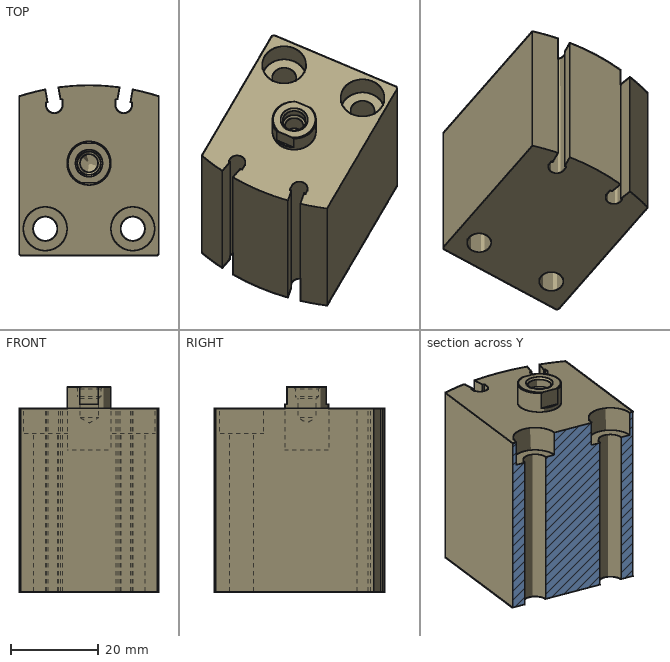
import cadquery as cq
import math

total_height = 47.0
rod_projection = 5.0
housing_height = total_height - rod_projection

housing_width = 32.0
housing_depth = 39.0
front_y = -21.15
back_y = front_y + housing_depth
half_width = housing_width / 2
back_sag = 2.55
corner_chamfer = 0.38

mount_x = 10.0
mount_y = -15.0
mount_diameter = 5.5
counterbore_diameter = 10.0
counterbore_depth = 5.7

slot_x = 7.95
slot_y = 13.35
slot_radius = 1.9
slot_inner_shoulder_y = 14.55
slot_outer_shoulder_y = 13.9
neck_inner_x = 6.55
neck_outer_x = 9.45
neck_lean = 10.0
neck_rise = 5.65

rod_diameter = 10.0
rod_chamfer = 0.2
across_flats = 9.02
flat_base_height = 1.0
rod_insertion = 9.4

hole_mouth_diameter = 6.2
hole_mouth_depth = 0.45
hole_bore_diameter = 5.3
hole_bore_depth = 2.25
hole_core_diameter = 4.15
hole_shoulder_depth = 2.65
hole_core_depth = 7.05
drill_point_angle = 120.0


def make_housing_block():
    corner_y = back_y - back_sag
    return (
        cq.Workplane("XY")
        .moveTo(-half_width + corner_chamfer, front_y)
        .lineTo(half_width - corner_chamfer, front_y)
        .lineTo(half_width, front_y + corner_chamfer)
        .lineTo(half_width, corner_y)
        .threePointArc((0, back_y), (-half_width, corner_y))
        .lineTo(-half_width, front_y + corner_chamfer)
        .close()
        .extrude(housing_height)
    )


def make_sensor_slot(side):
    """Full-height slot on the +X side (side = 1) or the -X side (side = -1)."""
    lean_x = neck_rise * math.tan(math.radians(neck_lean))
    return (
        cq.Workplane("XY")
        .moveTo(side * (slot_x - slot_radius), slot_y)
        .lineTo(side * (slot_x - slot_radius), slot_inner_shoulder_y)
        .lineTo(side * neck_inner_x, slot_inner_shoulder_y)
        .lineTo(side * (neck_inner_x + lean_x), slot_inner_shoulder_y + neck_rise)
        .lineTo(side * (neck_outer_x + lean_x), slot_outer_shoulder_y + neck_rise)
        .lineTo(side * neck_outer_x, slot_outer_shoulder_y)
        .lineTo(side * (slot_x + slot_radius), slot_outer_shoulder_y)
        .lineTo(side * (slot_x + slot_radius), slot_y)
        .threePointArc((side * slot_x, slot_y - slot_radius), (side * (slot_x - slot_radius), slot_y))
        .close()
        .extrude(housing_height)
    )


def make_rod_bore():
    return (
        cq.Workplane("XY")
        .workplane(offset=housing_height - rod_insertion)
        .circle(rod_diameter / 2)
        .extrude(rod_insertion)
    )


def make_housing():
    housing = make_housing_block()
    for side in (-1, 1):
        housing = housing.cut(make_sensor_slot(side))
    housing = (
        housing.faces(">Z")
        .workplane(origin=(0, 0, housing_height))
        .pushPoints([(-mount_x, mount_y), (mount_x, mount_y)])
        .cboreHole(mount_diameter, counterbore_diameter, counterbore_depth)
    )
    return housing.cut(make_rod_bore())


def make_centre_hole():
    """Revolved hole: countersunk mouth, clearance bore, thread core and drill point."""
    core_radius = hole_core_diameter / 2
    bore_radius = hole_bore_diameter / 2
    point_depth = core_radius / math.tan(math.radians(drill_point_angle / 2))
    return (
        cq.Workplane("XZ")
        .moveTo(0, total_height)
        .lineTo(hole_mouth_diameter / 2, total_height)
        .lineTo(bore_radius, total_height - hole_mouth_depth)
        .lineTo(bore_radius, total_height - hole_bore_depth)
        .lineTo(core_radius, total_height - hole_shoulder_depth)
        .lineTo(core_radius, total_height - hole_core_depth)
        .lineTo(0, total_height - hole_core_depth - point_depth)
        .close()
        .revolve(360, (0, 0, 0), (0, 1, 0))
    )


def make_flat_cutter(side):
    """Block that mills the wrench flat facing +Y (side = 1) or -Y (side = -1)."""
    cutter_depth = rod_diameter / 2
    cutter_y = side * (across_flats + cutter_depth) / 2
    return (
        cq.Workplane("XY")
        .workplane(offset=housing_height + flat_base_height)
        .center(0, cutter_y)
        .rect(rod_diameter, cutter_depth)
        .extrude(rod_projection - flat_base_height)
    )


def make_rod():
    rod = (
        cq.Workplane("XY")
        .workplane(offset=housing_height - rod_insertion)
        .circle(rod_diameter / 2)
        .extrude(rod_insertion + rod_projection)
        .faces(">Z")
        .chamfer(rod_chamfer)
    )
    for side in (-1, 1):
        rod = rod.cut(make_flat_cutter(side))
    return rod.cut(make_centre_hole())


housing = make_housing()
rod = make_rod()

result = cq.Compound.makeCompound([housing.val(), rod.val()])